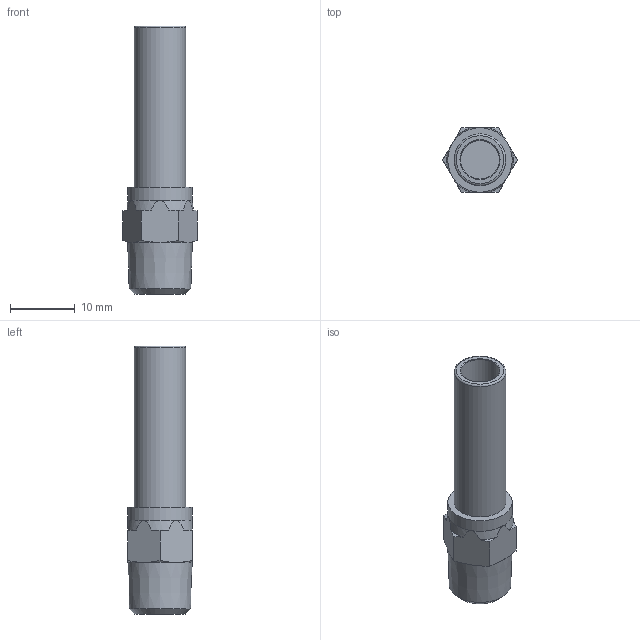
import cadquery as cq
import math

TOTAL_LENGTH = 41.5
TUBE_LENGTH = 25.0
COLLAR_HEIGHT = 2.0
NECK_HEIGHT = 1.5
THREAD_LENGTH = 8.0

COLLAR_TOP = TOTAL_LENGTH - TUBE_LENGTH
COLLAR_BASE = COLLAR_TOP - COLLAR_HEIGHT
NECK_BASE = COLLAR_BASE - NECK_HEIGHT

ACROSS_FLATS = 10.0
CORNER_RADIUS = ACROSS_FLATS / 2 / math.cos(math.radians(30))
LOWER_CHAMFER_ANGLE = 20.0
UPPER_CHAMFER_ANGLE = 10.0

COLLAR_RADIUS = ACROSS_FLATS / 2
NECK_BASE_RADIUS = 5.18

TUBE_RADIUS = 4.0
BORE_RADIUS = 3.0
BORE_DEPTH = TUBE_LENGTH
TUBE_EDGE_FILLET = 0.3
BORE_CHAMFER = 0.1

THREAD_TOP_RADIUS = 5.0
THREAD_TAPER = 1 / 32
TIP_CHAMFER_HEIGHT = 0.85
TIP_RADIUS = 3.95


def revolve_profile(points):
    """Turn a closed (radius, height) outline around the Z axis."""
    return cq.Workplane("XZ").polyline(points).close().revolve(360, (0, 0, 0), (0, 1, 0))


def make_thread():
    taper_length = THREAD_LENGTH - TIP_CHAMFER_HEIGHT
    small_end_radius = THREAD_TOP_RADIUS - taper_length * THREAD_TAPER
    return revolve_profile([
        (0, 0),
        (TIP_RADIUS, 0),
        (small_end_radius, TIP_CHAMFER_HEIGHT),
        (THREAD_TOP_RADIUS, THREAD_LENGTH),
        (0, THREAD_LENGTH),
    ])


def make_hexagon():
    """Hexagon with corners on X, trimmed by a turned envelope at both ends."""
    lower_slope = math.tan(math.radians(LOWER_CHAMFER_ANGLE))
    upper_slope = math.tan(math.radians(UPPER_CHAMFER_ANGLE))
    lower_chamfer_height = (CORNER_RADIUS - ACROSS_FLATS / 2) * lower_slope
    upper_chamfer_height = (CORNER_RADIUS - NECK_BASE_RADIUS) * upper_slope
    prism = (
        cq.Workplane("XY", origin=(0, 0, THREAD_LENGTH))
        .polygon(6, 2 * CORNER_RADIUS)
        .extrude(COLLAR_BASE - THREAD_LENGTH)
    )
    envelope = revolve_profile([
        (0, THREAD_LENGTH),
        (ACROSS_FLATS / 2, THREAD_LENGTH),
        (CORNER_RADIUS, THREAD_LENGTH + lower_chamfer_height),
        (CORNER_RADIUS, NECK_BASE - upper_chamfer_height),
        (NECK_BASE_RADIUS, NECK_BASE),
        (COLLAR_RADIUS, COLLAR_BASE),
        (0, COLLAR_BASE),
    ])
    return prism.intersect(envelope)


def make_collar():
    return (
        cq.Workplane("XY", origin=(0, 0, COLLAR_BASE))
        .circle(COLLAR_RADIUS)
        .extrude(COLLAR_HEIGHT)
    )


def make_tube():
    return (
        cq.Workplane("XY", origin=(0, 0, COLLAR_TOP))
        .circle(TUBE_RADIUS)
        .extrude(TUBE_LENGTH)
        .faces(">Z")
        .edges()
        .fillet(TUBE_EDGE_FILLET)
    )


def make_bore():
    return revolve_profile([
        (0, TOTAL_LENGTH - BORE_DEPTH),
        (BORE_RADIUS, TOTAL_LENGTH - BORE_DEPTH),
        (BORE_RADIUS, TOTAL_LENGTH - BORE_CHAMFER),
        (BORE_RADIUS + BORE_CHAMFER, TOTAL_LENGTH),
        (0, TOTAL_LENGTH),
    ])


body = make_thread().union(make_hexagon()).union(make_collar()).union(make_tube())
result = body.cut(make_bore())